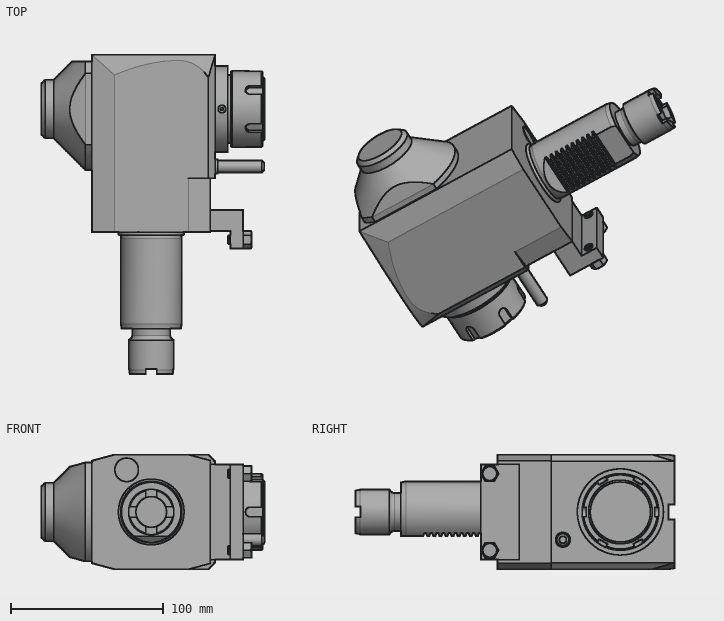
import cadquery as cq
import math


TOTAL_LENGTH = 209.0
HEIGHT = 75.0
HALF_Z = HEIGHT / 2
LEFT_X = -38.9
RIGHT_X = 41.8
SEAT_X = 38.7
BACK_Y = 116.0
STEP_Y = 35.1
HEAD_Y = 80.5
FLANK_TAN = math.tan(math.radians(15))
LEFT_FLANK = 14.6
SEAT_FLANK = 14.5
CORNER_CHAMFER = 4.4
CROWN_POINTS = [(-24.2, 35.0), (-6.3, 36.2), (13.2, 36.8), (29.3, 36.2)]
CROWN_TAN = 0.2
KEYWAY_WIDTH = 9.6
KEYWAY_DEPTH = 4.0
PLUG_X = -16.0
PLUG_Z = 27.5
PLUG_RADIUS = 7.7
PLUG_DEPTH = 0.6

CAP_X = -72.1
CAP_RADIUS = 19.2
CAP_CHAMFER = 2.7
CONE_START_X = -63.7
CONE_END_X = -43.0
COVER_RADIUS = CAP_RADIUS + CONE_END_X - CONE_START_X
COVER_HALF_Z = 32.4
COVER_TOP = 31.1

SHANK_RADIUS = 20.0
SHANK_END_Y = -63.1
SHANK_CHAMFER_LENGTH = 3.1
SHANK_CHAMFER_DEPTH = 0.6
RING_CENTER_RADIUS = 20.5
RING_SECTION = 1.0
LEAD_END_Y = -4.2
LEAD_DEPTH = 0.5
NECK_RADIUS = 12.5
NECK_END_Y = -67.5
FLARE_MIDPOINT = (13.2, -69.4)
COUPLING_RADIUS = 14.8
COUPLING_START_Y = -70.6
COUPLING_END_Y = BACK_Y - TOTAL_LENGTH
COUPLING_ROUND_LENGTH = 3.0
COUPLING_ROUND_DEPTH = 0.5
COUPLING_BORE_RADIUS = 10.0
COUPLING_BORE_DEPTH = 4.2
COUPLING_SLOT_WIDTH = 7.0
COUPLING_SLOT_DEPTH = 3.3

FLAT_Z = -15.9
ROOT_Z = -13.8
RAMP_END_Y = -10.9
TOOTH_COUNT = 10
TOOTH_PITCH = 4.0
FIRST_ROOT_Y = -11.5
ROOT_HALF_WIDTH = 0.52
MOUTH_HALF_WIDTH = 1.35

FLANGE_RADIUS = 28.2
FLANGE_END_X = 50.2
NUT_NECK_RADIUS = 22.4
NUT_START_X = 52.0
NUT_RADIUS = 25.0
NUT_FACE_X = 73.0
NUT_CHAMFER = 0.8
NOSE_RADIUS = 21.0
NOSE_END_X = 74.5
NOSE_CHAMFER = 1.3
NUT_SLOT_COUNT = 6
NUT_SLOT_WIDTH = 6.5
NUT_SLOT_START_X = 61.7
NUT_SLOT_DEPTH = 2.7
SET_SCREW_X = 46.2
SET_SCREW_RADIUS = 2.5
SET_SCREW_RECESS = 0.8
SOCKET_SIZE = 2.0
SOCKET_DEPTH = 2.0

PIN_Y = 42.8
PIN_Z = -18.2
PIN_RADIUS = 4.0
PIN_END_X = 74.0
PIN_CHAMFER = 1.7
PIN_BASE_RADIUS = 4.8
PIN_BASE_LENGTH = 1.7

BRACKET_HALF_Z = 31.1
BRACKET_END_X = 60.2
BRACKET_TOP_Y = 14.5
BRACKET_BOTTOM_Y = 0.6
LIP_X = 51.8
LIP_BOTTOM_Y = -10.9
BOLT_Y = -5.0
BOLT_Z = 25.0
BOLT_FLATS = 10.0
BOLT_HEAD_LENGTH = 5.6
BOLT_HEAD_CHAMFER = 0.6
BOLT_RADIUS = 3.0
BOLT_TIP_X = 50.2
BOLT_TIP_CHAMFER = 0.6

OVERLAP = 2.0
CLEAR = 10.5


def box_between(x0, x1, y0, y1, z0, z1):
    return cq.Workplane("XY").box(x1 - x0, y1 - y0, z1 - z0, centered=False).translate((x0, y0, z0))


def prism_along_x(points, x0, x1):
    """Extrude a closed (y, z) polygon from x0 to x1."""
    return cq.Workplane("YZ").workplane(offset=x0).polyline(points).close().extrude(x1 - x0)


def prism_along_y(points, y0, y1):
    """Extrude a closed (x, z) polygon from y0 to y1."""
    return cq.Workplane("XZ").workplane(offset=-y0).polyline(points).close().extrude(y0 - y1)


def turned_along_x(x0, x1, points, y=0, z=0):
    """Revolve an (x, radius) outline, closed down to an axis parallel to X."""
    outline = cq.Workplane("XY").polyline([(x0, 0)] + points + [(x1, 0)]).close()
    return outline.revolve(360, (0, 0, 0), (1, 0, 0)).translate((0, y, z))


def both_z(solid):
    return solid.union(solid.mirror("XY"))


def mirrored_outline(upper):
    """Close an upper (x, z) outline with its mirror image below Z = 0."""
    return upper + [(x, -z) for x, z in reversed(upper)]


def make_housing():
    left_z = HALF_Z - LEFT_FLANK * FLANK_TAN
    left = [(LEFT_X, left_z), (LEFT_X + LEFT_FLANK, HALF_Z)]
    seat_z = HALF_Z - SEAT_FLANK * FLANK_TAN
    lower = left + [(SEAT_X - SEAT_FLANK, HALF_Z), (SEAT_X, seat_z)]
    right_z = HALF_Z - CORNER_CHAMFER
    upper = left + [(RIGHT_X - CORNER_CHAMFER, HALF_Z), (RIGHT_X, right_z)]
    housing = prism_along_y(mirrored_outline(lower), 0, STEP_Y)
    housing = housing.union(prism_along_y(mirrored_outline(upper), STEP_Y, BACK_Y))
    housing = housing.cut(both_z(make_crown_cutter(left_z, right_z)))
    keyway = box_between(
        LEFT_X - CLEAR, RIGHT_X + CLEAR,
        BACK_Y - KEYWAY_DEPTH, BACK_Y + CLEAR,
        -KEYWAY_WIDTH / 2, KEYWAY_WIDTH / 2,
    )
    plug = cq.Workplane("XZ").center(PLUG_X, PLUG_Z).circle(PLUG_RADIUS).extrude(-PLUG_DEPTH)
    return housing.cut(keyway).cut(plug)


def make_crown_cutter(left_z, right_z):
    """Stock above the crown, whose curved outline rises steadily away from the back face."""
    reach = 2 * CLEAR
    roof_z = HALF_Z + CLEAR
    stock = (
        cq.Workplane("XZ", origin=(0, BACK_Y, 0))
        .moveTo(LEFT_X, left_z)
        .spline(CROWN_POINTS + [(RIGHT_X, right_z)], includeCurrent=True)
        .lineTo(RIGHT_X + CLEAR, right_z)
        .lineTo(RIGHT_X + CLEAR, roof_z)
        .lineTo(LEFT_X - CLEAR, roof_z)
        .lineTo(LEFT_X - CLEAR, left_z)
        .close()
    )
    face = cq.Face.makeFromWires(stock.wire().val())
    sweep = cq.Vector(0, -reach, reach * CROWN_TAN)
    return cq.Workplane(cq.Solid.extrudeLinear(face, sweep))


def make_cover():
    body = turned_along_x(CAP_X, LEFT_X + OVERLAP, [
        (CAP_X, CAP_RADIUS - CAP_CHAMFER),
        (CAP_X + CAP_CHAMFER, CAP_RADIUS),
        (CONE_START_X, CAP_RADIUS),
        (CONE_END_X, COVER_RADIUS),
        (LEFT_X + OVERLAP, COVER_RADIUS),
    ])
    slope_drop = (CONE_END_X - CAP_X) * FLANK_TAN
    upper = [
        (CAP_X, COVER_HALF_Z - slope_drop),
        (CONE_END_X, COVER_HALF_Z),
        (LEFT_X + OVERLAP, COVER_HALF_Z),
    ]
    envelope = prism_along_y(mirrored_outline(upper), -COVER_RADIUS - CLEAR, COVER_TOP)
    return body.intersect(envelope).translate((0, HEAD_Y, 0))


def make_shank():
    ring_crest = (RING_CENTER_RADIUS + RING_SECTION, -RING_SECTION)
    ring_end_y = -2 * RING_SECTION
    outline = (
        cq.Workplane("XY")
        .moveTo(0, OVERLAP)
        .lineTo(RING_CENTER_RADIUS, OVERLAP)
        .lineTo(RING_CENTER_RADIUS, 0)
        .threePointArc(ring_crest, (RING_CENTER_RADIUS, ring_end_y))
        .lineTo(SHANK_RADIUS - LEAD_DEPTH, ring_end_y)
        .lineTo(SHANK_RADIUS, LEAD_END_Y)
        .lineTo(SHANK_RADIUS, SHANK_END_Y + SHANK_CHAMFER_LENGTH)
        .lineTo(SHANK_RADIUS - SHANK_CHAMFER_DEPTH, SHANK_END_Y)
        .lineTo(NECK_RADIUS, SHANK_END_Y)
        .lineTo(NECK_RADIUS, NECK_END_Y)
        .threePointArc(FLARE_MIDPOINT, (COUPLING_RADIUS, COUPLING_START_Y))
        .lineTo(COUPLING_RADIUS, COUPLING_END_Y + COUPLING_ROUND_LENGTH)
        .tangentArcPoint((COUPLING_RADIUS - COUPLING_ROUND_DEPTH, COUPLING_END_Y), relative=False)
        .lineTo(0, COUPLING_END_Y)
        .close()
    )
    shank = outline.revolve(360, (0, 0, 0), (0, 1, 0))
    return shank.cut(make_coupling_cutter()).cut(make_rack_cutter())


def make_coupling_cutter():
    """Shallow end bore crossed by two slots."""
    end = cq.Workplane("XZ", origin=(0, COUPLING_END_Y, 0))
    length = 2 * COUPLING_RADIUS + CLEAR
    bore = end.circle(COUPLING_BORE_RADIUS).extrude(-COUPLING_BORE_DEPTH)
    slot_x = end.rect(length, COUPLING_SLOT_WIDTH).extrude(-COUPLING_SLOT_DEPTH)
    slot_z = end.rect(COUPLING_SLOT_WIDTH, length).extrude(-COUPLING_SLOT_DEPTH)
    return bore.union(slot_x).union(slot_z)


def make_rack_cutter():
    """Ramp, tooth gaps and plain flat on the underside of the shank."""
    floor_z = -SHANK_RADIUS - CLEAR
    ramp_start_y = RAMP_END_Y + ROOT_Z - floor_z
    outline = [(ramp_start_y, floor_z), (RAMP_END_Y, ROOT_Z)]
    for i in range(TOOTH_COUNT):
        root_y = FIRST_ROOT_Y - i * TOOTH_PITCH
        if i > 0:
            outline.append((root_y + MOUTH_HALF_WIDTH, FLAT_Z))
            outline.append((root_y + ROOT_HALF_WIDTH, ROOT_Z))
        outline.append((root_y - ROOT_HALF_WIDTH, ROOT_Z))
        outline.append((root_y - MOUTH_HALF_WIDTH, FLAT_Z))
    outline += [(SHANK_END_Y, FLAT_Z), (SHANK_END_Y, floor_z)]
    return prism_along_x(outline, -SHANK_RADIUS - CLEAR, SHANK_RADIUS + CLEAR)


def make_nut():
    nut = turned_along_x(RIGHT_X - OVERLAP, NOSE_END_X, [
        (RIGHT_X - OVERLAP, FLANGE_RADIUS),
        (FLANGE_END_X, FLANGE_RADIUS),
        (FLANGE_END_X, NUT_NECK_RADIUS),
        (NUT_START_X, NUT_NECK_RADIUS),
        (NUT_START_X, NUT_RADIUS - NUT_CHAMFER),
        (NUT_START_X + NUT_CHAMFER, NUT_RADIUS),
        (NUT_FACE_X - NUT_CHAMFER, NUT_RADIUS),
        (NUT_FACE_X, NUT_RADIUS - NUT_CHAMFER),
        (NUT_FACE_X, NOSE_RADIUS),
        (NOSE_END_X - NOSE_CHAMFER, NOSE_RADIUS),
        (NOSE_END_X, NOSE_RADIUS - NOSE_CHAMFER),
    ])
    slot = make_nut_slot()
    for i in range(NUT_SLOT_COUNT):
        nut = nut.cut(slot.rotate((0, 0, 0), (1, 0, 0), i * 360 / NUT_SLOT_COUNT))
    screw = cq.Workplane("XY", origin=(SET_SCREW_X, 0, FLANGE_RADIUS))
    nut = nut.cut(screw.circle(SET_SCREW_RADIUS).extrude(-SET_SCREW_RECESS))
    nut = nut.cut(screw.polygon(6, SOCKET_SIZE).extrude(-SOCKET_DEPTH))
    return nut.translate((0, HEAD_Y, 0))


def make_nut_slot():
    """Wrench slot on the -Y side, round at its inner end and open at the nut face."""
    half = NUT_SLOT_WIDTH / 2
    return (
        cq.Workplane("XZ", origin=(0, NUT_SLOT_DEPTH - NUT_RADIUS, 0))
        .moveTo(NUT_FACE_X, half)
        .lineTo(NUT_SLOT_START_X + half, half)
        .threePointArc((NUT_SLOT_START_X, 0), (NUT_SLOT_START_X + half, -half))
        .lineTo(NUT_FACE_X, -half)
        .close()
        .extrude(CLEAR)
    )


def make_pin():
    return turned_along_x(RIGHT_X - OVERLAP, PIN_END_X, [
        (RIGHT_X - OVERLAP, PIN_BASE_RADIUS),
        (RIGHT_X + PIN_BASE_LENGTH, PIN_BASE_RADIUS),
        (RIGHT_X + PIN_BASE_LENGTH, PIN_RADIUS),
        (PIN_END_X - PIN_CHAMFER, PIN_RADIUS),
        (PIN_END_X, PIN_RADIUS - PIN_CHAMFER),
    ], PIN_Y, PIN_Z)


def make_bracket():
    arm = box_between(
        SEAT_X - OVERLAP, BRACKET_END_X, BRACKET_BOTTOM_Y, BRACKET_TOP_Y, -BRACKET_HALF_Z, BRACKET_HALF_Z
    )
    lip = box_between(LIP_X, BRACKET_END_X, LIP_BOTTOM_Y, BRACKET_TOP_Y, -BRACKET_HALF_Z, BRACKET_HALF_Z)
    return arm.union(lip).union(both_z(make_bolt()))


def make_bolt():
    corner_radius = BOLT_FLATS / math.sqrt(3)
    head_end_x = BRACKET_END_X + BOLT_HEAD_LENGTH
    head = (
        cq.Workplane("YZ", origin=(BRACKET_END_X, BOLT_Y, BOLT_Z))
        .polygon(6, 2 * corner_radius)
        .extrude(BOLT_HEAD_LENGTH)
    )
    rounding = turned_along_x(BRACKET_END_X, head_end_x, [
        (BRACKET_END_X, corner_radius),
        (head_end_x - BOLT_HEAD_CHAMFER, corner_radius),
        (head_end_x, corner_radius - 2 * BOLT_HEAD_CHAMFER),
    ], BOLT_Y, BOLT_Z)
    stem = turned_along_x(BOLT_TIP_X, BRACKET_END_X + OVERLAP, [
        (BOLT_TIP_X, BOLT_RADIUS - BOLT_TIP_CHAMFER),
        (BOLT_TIP_X + BOLT_TIP_CHAMFER, BOLT_RADIUS),
        (BRACKET_END_X + OVERLAP, BOLT_RADIUS),
    ], BOLT_Y, BOLT_Z)
    return head.intersect(rounding).union(stem)


body = make_housing()
for piece in (make_cover(), make_shank(), make_nut(), make_pin(), make_bracket()):
    body = body.union(piece)
result = cq.Workplane(body.solids().val())